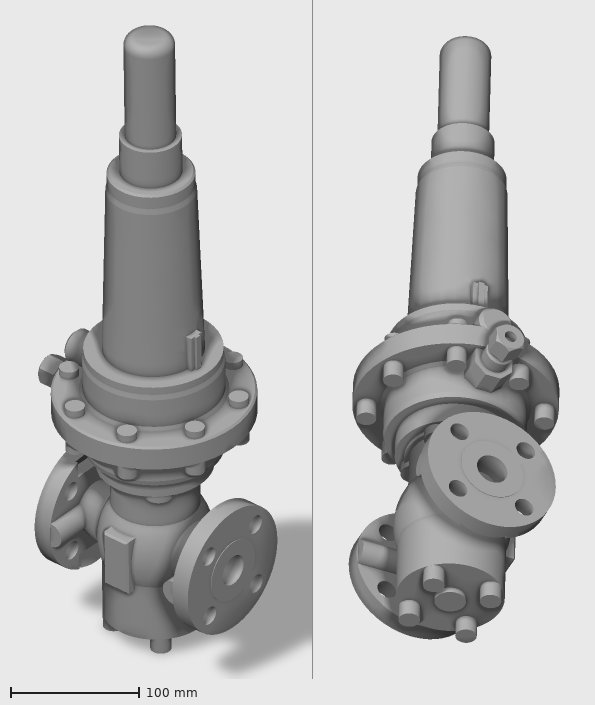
import cadquery as cq
import math

PIPE_YAW = -17.2
LEAN = 1.67
EDGE_BREAK = 1.5

CORNER_COUNT = 4
CORNER_ANGLE = 45

BOLT_BOTTOM_Z = 0.5
COVER_BOTTOM_Z = 14.0
COVER_TOP_Z = 24.0
BARREL_TOP_Z = 64.0
PIPE_Z = 85.0
GLOBE_TOP_Z = 117.0
LUG_BOTTOM_Z = 145.0
TOP_PLATE_Z = 149.5
BODY_TOP_Z = 153.0
SPIGOT_TOP_Z = 170.0
LOWER_FLANGE_Z = 203.0
SPLIT_Z = 213.5
UPPER_FLANGE_Z = 223.5
HOUSING_TOP_Z = 256.0
FOOT_TOP_Z = 263.0
TAPER_TOP_Z = 414.0
COLLAR_BOTTOM_Z = 419.0
COLLAR_TOP_Z = 431.5
SLEEVE_TOP_Z = 465.5
CAP_TOP_Z = 560.0

COVER_R = 42.5
COVER_BOLT_R = 8.5
COVER_BOLT_CIRCLE_R = 34.0
COVER_BOSS_R = 12.5
COVER_BOSS_DROP = 4.5

GLOBE_R = 46.0
NECK_R = 35.5
TOP_PLATE_R = 39.0
LUG_R = 11.0
LUG_CIRCLE_R = 33.0
FACE_TO_FACE = 157.5
PIPE_FLANGE_R = 54.5
PIPE_FLANGE_T = 16.0
RAISED_FACE_R = 26.5
RAISED_FACE_H = 0.5
PIPE_NECK_R = 21.5
PIPE_NECK_ROOT_R = 27.0
PIPE_NECK_ROOT_X = 39.0
POCKET_DEPTH = 11.0
POCKET_WIDTH = 39.0
POCKET_FLOOR_R = 37.0
BORE_R = 13.0
BORE_DEPTH = 22.5
FLANGE_HOLE_R = 8.0
FLANGE_HOLE_CIRCLE_R = 40.0
RIB_R = 10.5
RIB_REACH = 53.0
PAD_Z = 83.5
PAD_WIDTH = 24.5
PAD_HEIGHT = 49.0
PAD_REACH = 49.5
PAD_ROOT = 28.0

HOUSING_R = 56.0
HOUSING_BEVEL_H = 4.5
HOUSING_BEVEL_W = 1.0
HOUSING_FLARE = 3.0
SPIGOT_R = 46.5
CLAMP_FLANGE_R = 80.5
CLAMP_BOLT_COUNT = 8
CLAMP_BOLT_R = 8.0
CLAMP_BOLT_CIRCLE_R = 69.5
CLAMP_HEAD_H = 7.0
CLAMP_NUT_H = 14.0
PORT_ANGLE = 180
PORT_BOSS_Z = 230.0
PORT_BOSS_R = 14.5
PORT_BOSS_REACH = 81.0
PORT_BOSS_CHAMFER = 3.0

FITTING_Z = 195.0
FITTING_BOSS_SIDES = 8
FITTING_BOSS_FLATS = 31.5
FITTING_BOSS_REACH = 75.5
FITTING_BODY_R = 11.0
FITTING_BODY_REACH = 88.5
FITTING_NECK_R = 8.0
NUT_INNER_REACH = 93.0
NUT_OUTER_REACH = 109.0
NUT_CORNER_R = 13.5
NUT_SIDES = 6
NUT_BEVEL = 2.0
TUBE_HOLE_R = 5.0
TUBE_HOLE_DEPTH = 8.5

FOOT_R = 55.0
BONNET_BASE_R = 40.5
BONNET_TOP_R = 36.0
COLLAR_R = 35.0
SLEEVE_R = 24.5
CAP_R = 20.0
CAP_FILLET = 8.5
STOP_TOP_Z = 293.5
STOP_WIDTH = 12.5
STOP_REACH = 44.0
FIN_WIDTH = 4.5
FIN_REACH = 46.5


def disc(radius, bottom, top):
    """Upright cylinder on the main axis."""
    return cq.Workplane("XY").workplane(offset=bottom).circle(radius).extrude(top - bottom)


def ring_of_posts(radius, circle_r, bottom, top, count, first_angle):
    """Upright cylinders evenly spread on a circle about the main axis."""
    return (
        cq.Workplane("XY")
        .workplane(offset=bottom)
        .polarArray(circle_r, first_angle, 360, count)
        .circle(radius)
        .extrude(top - bottom)
    )


def side_plane(height, start):
    """Workplane across the pipe direction, looking out along +X from the main axis."""
    return cq.Workplane("YZ", origin=(start, 0, height))


def make_cover():
    cover = disc(COVER_R, COVER_BOTTOM_Z, COVER_TOP_Z)
    boss_bottom = COVER_BOTTOM_Z - COVER_BOSS_DROP
    cover = cover.union(disc(COVER_BOSS_R, boss_bottom, COVER_BOTTOM_Z))
    bolts = ring_of_posts(
        COVER_BOLT_R,
        COVER_BOLT_CIRCLE_R,
        BOLT_BOTTOM_Z,
        COVER_BOTTOM_Z,
        CORNER_COUNT,
        CORNER_ANGLE,
    )
    return cover.union(bolts)


def make_globe():
    """Barrel, bulging middle and neck of the valve body as one turned shape."""
    return (
        cq.Workplane("XZ")
        .moveTo(0, COVER_TOP_Z)
        .lineTo(COVER_R, COVER_TOP_Z)
        .lineTo(COVER_R, BARREL_TOP_Z)
        .threePointArc((GLOBE_R, PIPE_Z), (NECK_R, GLOBE_TOP_Z))
        .lineTo(NECK_R, BODY_TOP_Z)
        .lineTo(0, BODY_TOP_Z)
        .close()
        .revolve(360, (0, 0, 0), (0, 1, 0))
    )


def make_pipe_end():
    """Flange with its neck and ribs on the +X side."""
    face_x = FACE_TO_FACE / 2
    back_x = face_x - PIPE_FLANGE_T
    flange = side_plane(PIPE_Z, back_x).circle(PIPE_FLANGE_R).extrude(PIPE_FLANGE_T - RAISED_FACE_H)
    raised = side_plane(PIPE_Z, back_x).circle(RAISED_FACE_R).extrude(PIPE_FLANGE_T)
    holes = (
        side_plane(PIPE_Z, back_x)
        .polarArray(FLANGE_HOLE_CIRCLE_R, CORNER_ANGLE, 360, CORNER_COUNT)
        .circle(FLANGE_HOLE_R)
        .extrude(PIPE_FLANGE_T)
    )
    neck = (
        side_plane(PIPE_Z, 0)
        .circle(PIPE_NECK_ROOT_R)
        .extrude(PIPE_NECK_ROOT_X)
        .faces(">X")
        .workplane()
        .circle(PIPE_NECK_ROOT_R)
        .workplane(offset=back_x - PIPE_NECK_ROOT_X)
        .circle(PIPE_NECK_R)
        .loft(combine=True)
    )
    ribs = cq.Workplane("XZ", origin=(back_x, 0, PIPE_Z)).circle(RIB_R).extrude(RIB_REACH, both=True)
    return flange.union(raised).union(neck).union(ribs).cut(holes)


def make_flange_pockets():
    """Sloping pockets at the top and bottom of the +X flange back, deepest nearest the neck."""
    back_x = FACE_TO_FACE / 2 - PIPE_FLANGE_T
    top = (
        cq.Workplane("XZ", origin=(0, POCKET_WIDTH / 2, PIPE_Z))
        .moveTo(back_x, PIPE_FLANGE_R)
        .lineTo(back_x, POCKET_FLOOR_R)
        .lineTo(back_x + POCKET_DEPTH, POCKET_FLOOR_R)
        .close()
        .extrude(POCKET_WIDTH)
    )
    return top.union(top.rotate((0, 0, PIPE_Z), (1, 0, PIPE_Z), 180))


def make_bore():
    """Blind flow port in the +X flange face."""
    return side_plane(PIPE_Z, FACE_TO_FACE / 2 - BORE_DEPTH).circle(BORE_R).extrude(BORE_DEPTH)


def make_pad():
    """Raised rectangular label pad on the -Y side."""
    return (
        cq.Workplane("XZ", origin=(0, -PAD_ROOT, PAD_Z))
        .rect(PAD_WIDTH, PAD_HEIGHT)
        .extrude(PAD_REACH - PAD_ROOT)
        .faces("<Y")
        .chamfer(EDGE_BREAK)
    )


def make_valve_body():
    body = make_globe()
    body = body.union(disc(TOP_PLATE_R, TOP_PLATE_Z, BODY_TOP_Z))
    lugs = ring_of_posts(LUG_R, LUG_CIRCLE_R, LUG_BOTTOM_Z, BODY_TOP_Z, CORNER_COUNT, CORNER_ANGLE)
    body = body.union(lugs)
    body = body.union(make_pad())
    for angle in (0, 180):
        body = body.union(make_pipe_end().rotate((0, 0, 0), (0, 0, 1), angle))
    body = body.cut(make_flange_pockets().rotate((0, 0, 0), (0, 0, 1), 180))
    for angle in (0, 180):
        body = body.cut(make_bore().rotate((0, 0, 0), (0, 0, 1), angle))
    return body


def make_fitting():
    """Tube fitting reaching out along +X: boss, body, neck and hexagon nut."""
    boss_d = FITTING_BOSS_FLATS / math.cos(math.pi / FITTING_BOSS_SIDES)
    boss = (
        side_plane(FITTING_Z, 0)
        .transformed(rotate=(0, 0, 180 / FITTING_BOSS_SIDES))
        .polygon(FITTING_BOSS_SIDES, boss_d)
        .extrude(FITTING_BOSS_REACH)
    )
    body = side_plane(FITTING_Z, 0).circle(FITTING_BODY_R).extrude(FITTING_BODY_REACH)
    body = body.faces(">X").chamfer(EDGE_BREAK)
    neck = side_plane(FITTING_Z, 0).circle(FITTING_NECK_R).extrude(NUT_INNER_REACH)
    nut = (
        side_plane(FITTING_Z, NUT_INNER_REACH)
        .transformed(rotate=(0, 0, 90))
        .polygon(NUT_SIDES, 2 * NUT_CORNER_R)
        .extrude(NUT_OUTER_REACH - NUT_INNER_REACH)
    )
    nut_bevel = side_plane(FITTING_Z, NUT_INNER_REACH).circle(NUT_CORNER_R)
    nut_bevel = nut_bevel.extrude(NUT_OUTER_REACH - NUT_INNER_REACH).faces(">X").chamfer(NUT_BEVEL)
    nut = nut.intersect(nut_bevel)
    tube_hole = (
        side_plane(FITTING_Z, NUT_OUTER_REACH - TUBE_HOLE_DEPTH).circle(TUBE_HOLE_R).extrude(TUBE_HOLE_DEPTH)
    )
    return boss.union(body).union(neck).union(nut).cut(tube_hole)


def make_housing_wall(flange_z, end_z):
    """Round wall from its flared root on the clamp flange to its bevelled end."""
    outward = math.copysign(1, end_z - flange_z)
    return (
        cq.Workplane("XZ")
        .moveTo(0, flange_z)
        .lineTo(HOUSING_R + HOUSING_FLARE, flange_z)
        .lineTo(HOUSING_R, flange_z + outward * HOUSING_FLARE)
        .lineTo(HOUSING_R, end_z - outward * HOUSING_BEVEL_H)
        .lineTo(HOUSING_R - HOUSING_BEVEL_W, end_z)
        .lineTo(0, end_z)
        .close()
        .revolve(360, (0, 0, 0), (0, 1, 0))
    )


def make_lower_housing():
    housing = make_housing_wall(LOWER_FLANGE_Z, SPIGOT_TOP_Z)
    housing = housing.union(disc(SPIGOT_R, BODY_TOP_Z, SPIGOT_TOP_Z))
    housing = housing.union(disc(CLAMP_FLANGE_R, LOWER_FLANGE_Z, SPLIT_Z))
    nuts = ring_of_posts(
        CLAMP_BOLT_R,
        CLAMP_BOLT_CIRCLE_R,
        LOWER_FLANGE_Z - CLAMP_NUT_H,
        LOWER_FLANGE_Z,
        CLAMP_BOLT_COUNT,
        180 / CLAMP_BOLT_COUNT,
    )
    fitting = make_fitting().rotate((0, 0, 0), (0, 0, 1), PORT_ANGLE)
    return housing.union(nuts).union(fitting)


def make_upper_housing():
    housing = make_housing_wall(UPPER_FLANGE_Z, HOUSING_TOP_Z)
    flange = disc(CLAMP_FLANGE_R, SPLIT_Z, UPPER_FLANGE_Z).faces(">Z").chamfer(EDGE_BREAK)
    heads = ring_of_posts(
        CLAMP_BOLT_R,
        CLAMP_BOLT_CIRCLE_R,
        UPPER_FLANGE_Z,
        UPPER_FLANGE_Z + CLAMP_HEAD_H,
        CLAMP_BOLT_COUNT,
        180 / CLAMP_BOLT_COUNT,
    )
    boss = side_plane(PORT_BOSS_Z, 0).circle(PORT_BOSS_R).extrude(PORT_BOSS_REACH)
    boss = boss.faces(">X").chamfer(PORT_BOSS_CHAMFER)
    boss = boss.rotate((0, 0, 0), (0, 0, 1), PORT_ANGLE)
    return housing.union(flange).union(heads).union(boss)


def make_stop(angle):
    """Upright stop against the foot of the bonnet, with a narrow outer fin."""
    height = STOP_TOP_Z - FOOT_TOP_Z
    base = cq.Workplane("XY").workplane(offset=FOOT_TOP_Z)
    block = base.rect(2 * STOP_REACH, STOP_WIDTH).extrude(height)
    fin = base.rect(2 * FIN_REACH, FIN_WIDTH).extrude(height)
    outer_half = cq.Workplane("XY").box(FOOT_R, FOOT_R, CAP_TOP_Z, centered=(False, True, False))
    return block.union(fin).intersect(outer_half).rotate((0, 0, 0), (0, 0, 1), angle)


def make_bonnet():
    """Foot flange, tapered spring tube, collar, sleeve and cap as one turned shape."""
    bonnet = (
        cq.Workplane("XZ")
        .moveTo(0, HOUSING_TOP_Z)
        .lineTo(FOOT_R, HOUSING_TOP_Z)
        .lineTo(FOOT_R, FOOT_TOP_Z)
        .lineTo(BONNET_BASE_R, FOOT_TOP_Z)
        .lineTo(BONNET_TOP_R, TAPER_TOP_Z)
        .lineTo(COLLAR_R, COLLAR_BOTTOM_Z)
        .lineTo(COLLAR_R, COLLAR_TOP_Z - EDGE_BREAK)
        .lineTo(COLLAR_R - EDGE_BREAK, COLLAR_TOP_Z)
        .lineTo(SLEEVE_R, COLLAR_TOP_Z)
        .lineTo(SLEEVE_R, SLEEVE_TOP_Z)
        .lineTo(CAP_R, SLEEVE_TOP_Z)
        .lineTo(CAP_R, CAP_TOP_Z)
        .lineTo(0, CAP_TOP_Z)
        .close()
        .revolve(360, (0, 0, 0), (0, 1, 0))
        .faces(">Z")
        .edges()
        .fillet(CAP_FILLET)
    )
    for angle in (0, 180):
        bonnet = bonnet.union(make_stop(angle))
    return bonnet


def place(body):
    """Turn an upright body to the pipe yaw, then lean its top towards -Y."""
    turned = body.rotate((0, 0, 0), (0, 0, 1), PIPE_YAW)
    return turned.rotate((0, 0, 0), (1, 0, 0), LEAN).solids()


cover = place(make_cover())
valve_body = place(make_valve_body())
lower_housing = place(make_lower_housing())
upper_housing = place(make_upper_housing())
bonnet = place(make_bonnet())

result = cq.Compound.makeCompound(
    [
        cover.val(),
        valve_body.val(),
        lower_housing.val(),
        upper_housing.val(),
        bonnet.val(),
    ]
)